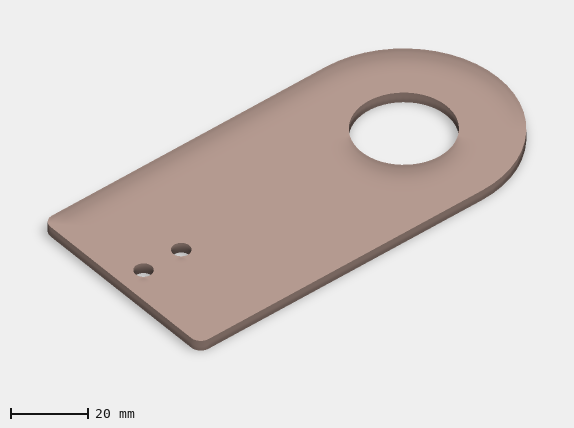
import cadquery as cq

width = 63.5
length = 127.0
thickness = 3.3
corner_radius = 3.175
large_hole_diameter = 28.57
small_hole_diameter = 5.31
first_small_hole_from_end = 7.62
small_hole_spacing = 12.7

end_radius = width / 2
square_end_y = end_radius - length
first_small_hole_y = square_end_y + first_small_hole_from_end
small_hole_centers = [
    (0, first_small_hole_y),
    (0, first_small_hole_y + small_hole_spacing),
]


def make_plate():
    """Flat plate with one semicircular end and one square end with rounded corners."""
    plate = (
        cq.Workplane("XY")
        .moveTo(-end_radius, square_end_y)
        .lineTo(end_radius, square_end_y)
        .lineTo(end_radius, 0)
        .threePointArc((0, end_radius), (-end_radius, 0))
        .close()
        .extrude(thickness)
    )
    square_end_corners = plate.faces("<Y").edges("|Z")
    return square_end_corners.fillet(corner_radius)


def make_through_holes(centers, diameter):
    """Round cutters through the full plate thickness."""
    return cq.Workplane("XY").pushPoints(centers).circle(diameter / 2).extrude(thickness)


large_hole = make_through_holes([(0, 0)], large_hole_diameter)
small_holes = make_through_holes(small_hole_centers, small_hole_diameter)

result = make_plate().cut(large_hole).cut(small_holes)